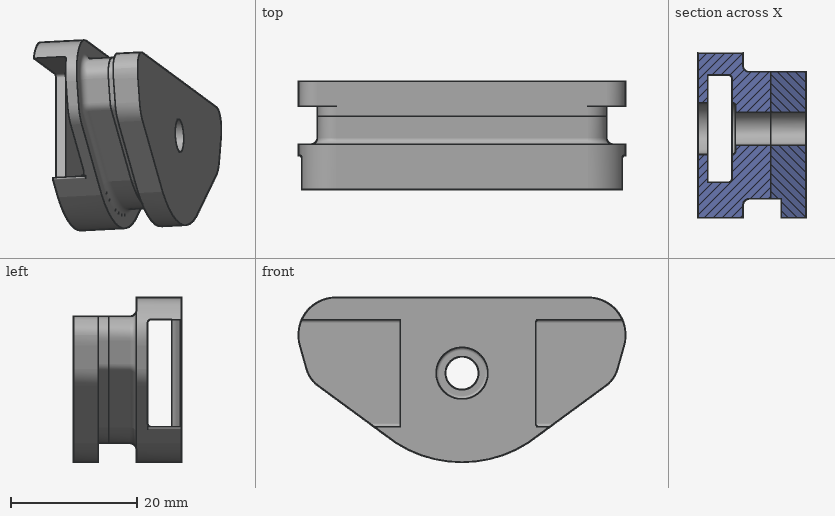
import cadquery as cq
import math


front_flange_thickness = 7.2
groove_width = 6.0
back_flange_thickness = 4.0
spigot_length = 1.6
shoulder_y = front_flange_thickness
groove_back_y = shoulder_y + groove_width
joint_y = groove_back_y - spigot_length
back_y = groove_back_y + back_flange_thickness

total_width = 51.94
total_height = 26.18
top_z = 12.03
bottom_z = top_z - total_height
upper_radius = 6.0
upper_x = total_width / 2 - upper_radius
upper_z = top_z - upper_radius
lower_radius = 5.0
lower_x = 19.88
lower_z = upper_z - 4.0
flank_slope = math.radians(36.25)
bow_radius = 19.35
bow_z = bottom_z + bow_radius

groove_depth = 3.0
neck_top_z = top_z - groove_depth
neck_fillet = 1.0

channel_half_height = 8.5
channel_floor_y = 5.4
floor_fillet = 0.55
mouth_corner_fillet = 0.5
lip_fillet = 0.2
bridge_left_x = -9.8
bridge_right_x = 11.7
bridge_thickness = 1.6
bridge_edge_thickness = 0.2
ramp_end_thickness = 0.85
ramp_angle = math.radians(20)
curve_end_angle = math.radians(42)

bore_diameter = 5.2
access_diameter = 8.2
recess_depth = 0.55
recess_fillet = 0.5

overcut = 1.0


def on_circle(x, z, radius, angle):
    return (x + radius * math.cos(angle), z + radius * math.sin(angle))


def mirrored(point):
    return (-point[0], point[1])


def outline_prism(inset, start_y, end_y):
    """Prism between two Y positions with the flange outline moved inward by `inset`."""
    upper_r = upper_radius - inset
    lower_r = lower_radius - inset
    bow_r = bow_radius - inset

    side_run = math.hypot(upper_x - lower_x, upper_z - lower_z)
    side_lean = math.atan2(upper_x - lower_x, upper_z - lower_z)
    side_normal = -math.asin((upper_radius - lower_radius) / side_run) - side_lean
    flank_normal = flank_slope - math.pi / 2

    flank_distance = (
        lower_x * math.cos(flank_normal) + (lower_z - bow_z) * math.sin(flank_normal) + lower_r
    )
    bow_normal = flank_normal - math.acos(flank_distance / bow_r)

    top_corner = (upper_x, upper_z + upper_r)
    upper_mid = on_circle(upper_x, upper_z, upper_r, (math.pi / 2 + side_normal) / 2)
    side_top = on_circle(upper_x, upper_z, upper_r, side_normal)
    side_bottom = on_circle(lower_x, lower_z, lower_r, side_normal)
    lower_mid = on_circle(lower_x, lower_z, lower_r, (side_normal + flank_normal) / 2)
    flank_top = on_circle(lower_x, lower_z, lower_r, flank_normal)
    bow_end = on_circle(0, bow_z, bow_r, bow_normal)
    return (
        cq.Workplane("XZ", origin=(0, start_y, 0))
        .moveTo(*mirrored(top_corner))
        .lineTo(*top_corner)
        .threePointArc(upper_mid, side_top)
        .lineTo(*side_bottom)
        .threePointArc(lower_mid, flank_top)
        .lineTo(*bow_end)
        .threePointArc((0, bow_z - bow_r), mirrored(bow_end))
        .lineTo(*mirrored(flank_top))
        .threePointArc(mirrored(lower_mid), mirrored(side_bottom))
        .lineTo(*mirrored(side_top))
        .threePointArc(mirrored(upper_mid), mirrored(top_corner))
        .close()
        .extrude(start_y - end_y)
    )


def block(x_range, y_range, z_range):
    """Box between pairs of X, Y and Z limits."""
    corner = [limits[0] for limits in (x_range, y_range, z_range)]
    size = [limits[1] - limits[0] for limits in (x_range, y_range, z_range)]
    return cq.Workplane("XY").box(*size, centered=False).translate(tuple(corner))


def cylinder(diameter, start_y, end_y):
    """Cylinder on the bore axis between two Y positions."""
    return cq.Workplane("XZ", origin=(0, start_y, 0)).circle(diameter / 2).extrude(start_y - end_y)


def make_bridge():
    """Bridge over the channel, thinned on its inner side towards the left edge."""
    ramp_end_x = bridge_left_x + (ramp_end_thickness - bridge_edge_thickness) / math.tan(ramp_angle)
    curve_radius = (bridge_thickness - ramp_end_thickness) / (
        math.cos(ramp_angle) - math.cos(curve_end_angle)
    )

    def on_curve(angle):
        return (
            ramp_end_x + curve_radius * (math.sin(angle) - math.sin(ramp_angle)),
            ramp_end_thickness + curve_radius * (math.cos(ramp_angle) - math.cos(angle)),
        )

    half_height = channel_half_height + overcut
    return (
        cq.Workplane("XY", origin=(0, 0, -half_height))
        .moveTo(bridge_left_x, -overcut)
        .lineTo(bridge_left_x, bridge_edge_thickness)
        .lineTo(ramp_end_x, ramp_end_thickness)
        .threePointArc(on_curve((ramp_angle + curve_end_angle) / 2), on_curve(curve_end_angle))
        .lineTo(bridge_right_x, bridge_thickness)
        .lineTo(bridge_right_x, -overcut)
        .close()
        .extrude(2 * half_height)
    )


def make_channel():
    """Material removed for the channel, with rounded floor edges, leaving the bridge."""
    half_length = total_width / 2 + overcut
    channel = block(
        (-half_length, half_length),
        (-overcut, channel_floor_y),
        (-channel_half_height, channel_half_height),
    )
    return channel.edges(">Y and |X").fillet(floor_fillet).cut(make_bridge())


def make_lip_cutter():
    """Sharp tip to remove where the lower channel wall runs out through the right flank."""
    flank_normal = flank_slope - math.pi / 2
    wall_z = -channel_half_height
    flank_distance = lower_x * math.cos(flank_normal) + lower_z * math.sin(flank_normal) + lower_radius
    tip_x = (flank_distance - wall_z * math.sin(flank_normal)) / math.cos(flank_normal)
    setback = lip_fillet / math.tan(flank_slope / 2)
    centre = (tip_x - setback, wall_z - lip_fillet)
    on_flank = on_circle(*centre, lip_fillet, flank_normal)
    on_wall = on_circle(*centre, lip_fillet, math.pi / 2)
    arc_mid = on_circle(*centre, lip_fillet, (flank_normal + math.pi / 2) / 2)
    return (
        cq.Workplane("XZ", origin=(0, -overcut, 0))
        .moveTo(tip_x, wall_z)
        .lineTo(*on_wall)
        .threePointArc(arc_mid, on_flank)
        .close()
        .extrude(-overcut - channel_floor_y)
    )


def edges_near(body, x, y_range, z):
    """Edges whose centre lies in a small window around X and Z, between two Y limits."""
    reach = 0.4
    return body.edges(
        cq.selectors.BoxSelector(
            (x - reach, y_range[0], z - reach), (x + reach, y_range[1], z + reach)
        )
    )


def make_front():
    """Thick flange with its neck, the strap channel, the bridge and the stepped bore."""
    flange = outline_prism(0, 0, shoulder_y)
    neck = outline_prism(groove_depth, shoulder_y, joint_y)
    body = flange.union(neck)

    shoulder = body.faces(">Y[-2]").val()
    neck_root = shoulder.innerWires()[0].Edges()
    body = cq.Workplane(body.val().fillet(neck_fillet, neck_root))

    body = body.cut(make_channel())

    edge_margin = 0.1
    for wall_z in (-channel_half_height, channel_half_height):
        y_range = (edge_margin, bridge_thickness - edge_margin)
        body = edges_near(body, bridge_right_x, y_range, wall_z).fillet(mouth_corner_fillet)

    lip = make_lip_cutter()
    body = body.cut(lip).cut(lip.mirror("YZ"))

    recess = cylinder(access_diameter, 0, channel_floor_y + recess_depth)
    recess = recess.faces(">Y").edges().fillet(recess_fillet)
    return body.cut(recess).cut(cylinder(bore_diameter, 0, joint_y))


def make_back():
    """Thin flange, cut level with the neck and rounded there, with a spigot matching the neck."""
    half_width = total_width / 2
    flange = outline_prism(0, groove_back_y, back_y)
    upper_part = block(
        (-half_width - overcut, half_width + overcut),
        (groove_back_y - overcut, back_y + overcut),
        (upper_z, top_z + overcut),
    )
    cap = (
        cq.Workplane("XZ", origin=(0, groove_back_y, 0))
        .moveTo(-half_width, upper_z)
        .radiusArc((groove_depth - half_width, neck_top_z), groove_depth)
        .lineTo(half_width - groove_depth, neck_top_z)
        .radiusArc((half_width, upper_z), groove_depth)
        .close()
        .extrude(-back_flange_thickness)
    )
    spigot = outline_prism(groove_depth, joint_y, groove_back_y)
    body = flange.cut(upper_part).union(cap).union(spigot)
    return body.cut(cylinder(bore_diameter, joint_y, back_y))


front = make_front()
back = make_back()
result = cq.Compound.makeCompound([front.val(), back.val()])